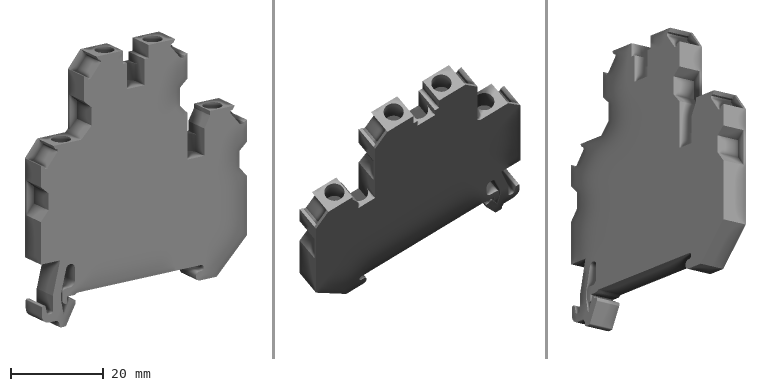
import cadquery as cq
import math


thickness = 6.1
half_length = 27.0
top_z = 59.85
deck_z = 41.7
underside_z = 15.3
seat_z = 7.1
foot_z = 3.65
foot_slope = 8.0

tower_center_y = -2.16
tower_half_length = 13.55
tower_front_y = tower_center_y - tower_half_length
tower_back_y = tower_center_y + tower_half_length
tower_foot_chamfer = 0.7

corner_run = 3.25
corner_drop = 3.9
side_wall = 0.6
groove_depth = 1.85
groove_floor_inset = 0.4
groove_bevel_depth = 1.45
groove_bevel_inset = 0.04
groove_ridge_depth = 0.9
groove_ridge_inset = 0.29

top_notch_half_width = 3.35
top_notch_step = 3.0
top_notch_slot_half_width = 2.3
top_notch_depth = 4.95
top_notch_floor_z = top_z - top_notch_depth
deck_notch_width = 4.4
deck_notch_floor_z = 35.8
deck_notch_mouth_y = 17.3
deck_notch_slope_top_z = 40.7
deck_notch_slope_end_z = 38.0
deck_notch_edge_y = tower_back_y + deck_notch_width
notch_slot_depth = 4.0

bore_center_x = 3.3
screw_hole_diameter = 4.35
screw_hole_radius = screw_hole_diameter / 2
screw_hole_depth = 5.0
tower_hole_offset = 6.3
deck_hole_offset = 19.8

entry_depth = 2.0
entry_ceiling_rise = 1.75
tower_entry_top_z = 50.25
tower_entry_bottom_z = deck_z + tower_foot_chamfer
tower_entry_slope_z = tower_entry_bottom_z + entry_depth
deck_entry_top_z = 32.9
deck_entry_slope_z = 27.3
deck_entry_bottom_z = 25.0

foot_tip_y = 13.6
foot_root_y = 15.55
foot_hook_top_z = 5.75
foot_tip_radius = 1.0
foot_root_radius = 0.6

lip_ramp_start_y = -17.4
lip_ramp_end_y = -18.2
lip_underside_z = 6.7
lip_inner_y = -20.1
lip_outer_y = -21.36
lip_bottom_z = 5.1
lip_top_z = 8.62
lip_inner_radius = 0.25
lip_outer_radius = 1.0
slot_wall_y = -18.11
slot_top_z = 13.95
slot_arm_y = -20.15
slot_lower_radius = 1.4
slot_upper_radius = 1.1

arm_inner_y = -21.74
arm_inner_bend_top_z = 7.7
arm_inner_bend_bottom_z = 6.3
arm_upper_bend_radius = 3.0
arm_lower_bend_radius = 1.5
arm_outer_y = -23.88
arm_outer_bend_z = 7.6
arm_root_y = -21.97

catch_crotch_y = -21.02
catch_crotch_z = 2.8
catch_top_z = 6.12
catch_top_front_y = -19.5
catch_top_back_y = -19.2
catch_shoulder_y = -18.75
catch_shoulder_z = 5.6
catch_back_y = -17.9
catch_back_top_z = 5.5
catch_back_bottom_z = 4.75
catch_base_back_y = -20.46
catch_base_front_y = -22.14
catch_base_radius = 0.4

finger_outer_y = -26.75
finger_tip_inner_y = -25.83
finger_root_inner_y = -25.33
finger_top_z = 5.75
finger_bottom_z = 1.72
finger_floor_z = 3.6
finger_outer_radius = 1.9
finger_tip_radius = 0.25
finger_floor_radius = 0.55
finger_heel_y = -22.65
finger_heel_z = 0.95

soft_edge_radius = 0.3
fine_edge_radius = 0.12


def rounded_outline(corners):
    """Closed YZ wire through (y, z, radius) corners; radius 0 leaves a corner sharp."""
    spans = []
    for index, (y, z, radius) in enumerate(corners):
        corner = cq.Vector(y, z)
        before = corners[index - 1]
        after = corners[(index + 1) % len(corners)]
        to_before = (cq.Vector(before[0], before[1]) - corner).normalized()
        to_after = (cq.Vector(after[0], after[1]) - corner).normalized()
        if radius == 0:
            spans.append((corner, None, corner))
            continue
        half_angle = to_before.getAngle(to_after) / 2
        tangent_length = radius / math.tan(half_angle)
        bisector = (to_before + to_after).normalized()
        middle = corner + bisector * (radius / math.sin(half_angle) - radius)
        spans.append((corner + to_before * tangent_length, middle, corner + to_after * tangent_length))

    outline = cq.Workplane("YZ").moveTo(*spans[0][2].toTuple()[:2])
    for start, middle, end in spans[1:] + spans[:1]:
        outline = outline.lineTo(*start.toTuple()[:2])
        if middle is not None:
            outline = outline.threePointArc(middle.toTuple()[:2], end.toTuple()[:2])
    return outline.close()


def body_corners():
    """Upper outline, from the -Y underside over the tower to the lower +Y corner."""
    notch_y = tower_center_y
    step_z = top_z - top_notch_step
    points = [
        (-half_length, underside_z),
        (-half_length, deck_z - corner_drop),
        (-half_length + corner_run, deck_z),
        (tower_front_y - tower_foot_chamfer, deck_z),
        (tower_front_y, deck_z + tower_foot_chamfer),
        (tower_front_y, top_z - corner_drop),
        (tower_front_y + corner_run, top_z),
        (notch_y - top_notch_half_width, top_z),
        (notch_y - top_notch_half_width, step_z),
        (notch_y - top_notch_slot_half_width, step_z),
        (notch_y - top_notch_slot_half_width, top_notch_floor_z),
        (notch_y + top_notch_slot_half_width, top_notch_floor_z),
        (notch_y + top_notch_slot_half_width, step_z),
        (notch_y + top_notch_half_width, step_z),
        (notch_y + top_notch_half_width, top_z),
        (tower_back_y - corner_run, top_z),
        (tower_back_y, top_z - corner_drop),
        (tower_back_y, deck_notch_floor_z),
        (deck_notch_edge_y, deck_notch_floor_z),
        (deck_notch_edge_y, deck_notch_slope_end_z),
        (deck_notch_mouth_y, deck_notch_slope_top_z),
        (deck_notch_mouth_y, deck_z),
        (half_length - corner_run, deck_z),
        (half_length, deck_z - corner_drop),
        (half_length, foot_z + foot_slope),
        (half_length - foot_slope, foot_z),
    ]
    return [(y, z, 0) for y, z in points]


def rail_foot_corners():
    """Fixed hook gripping the +Y edge of the rail."""
    return [
        (foot_tip_y, foot_z, foot_tip_radius),
        (foot_tip_y, foot_hook_top_z, foot_tip_radius),
        (foot_root_y, foot_hook_top_z, foot_root_radius),
        (foot_root_y, seat_z, foot_root_radius),
    ]


def lip_corners():
    """Lip at the -Y end of the rail seat and the slot that frees the spring arm."""
    return [
        (lip_ramp_start_y, seat_z, 0),
        (lip_ramp_end_y, lip_underside_z, 0),
        (lip_inner_y, lip_underside_z, 0),
        (lip_inner_y, lip_bottom_z, lip_inner_radius),
        (lip_outer_y, lip_bottom_z, lip_outer_radius),
        (lip_outer_y, lip_top_z, lip_outer_radius),
        (slot_wall_y, lip_top_z, slot_lower_radius),
        (slot_wall_y, slot_top_z, slot_upper_radius),
        (slot_arm_y, slot_top_z, slot_upper_radius),
    ]


def latch_corners():
    """Spring arm, its catch under the lip, and the release finger."""
    arm_inner_face = [
        (arm_inner_y, arm_inner_bend_top_z, arm_upper_bend_radius),
        (arm_inner_y, arm_inner_bend_bottom_z, arm_lower_bend_radius),
    ]
    catch = [
        (catch_crotch_y, catch_crotch_z, 0),
        (catch_top_front_y, catch_top_z, fine_edge_radius),
        (catch_top_back_y, catch_top_z, fine_edge_radius),
        (catch_shoulder_y, catch_shoulder_z, soft_edge_radius),
        (catch_back_y, catch_back_top_z, fine_edge_radius),
        (catch_back_y, catch_back_bottom_z, soft_edge_radius),
        (catch_base_back_y, 0, catch_base_radius),
        (catch_base_front_y, 0, catch_base_radius),
    ]
    finger = [
        (catch_base_front_y, finger_heel_z, soft_edge_radius),
        (finger_heel_y, finger_bottom_z, soft_edge_radius),
        (finger_outer_y, finger_bottom_z, finger_outer_radius),
        (finger_outer_y, finger_top_z, finger_tip_radius),
        (finger_tip_inner_y, finger_top_z, finger_tip_radius),
        (finger_root_inner_y, finger_floor_z, finger_floor_radius),
    ]
    arm_outer_face = [
        (arm_outer_y, finger_floor_z, finger_floor_radius),
        (arm_outer_y, arm_outer_bend_z, 0),
        (arm_root_y, underside_z, 0),
    ]
    return arm_inner_face + catch + finger + arm_outer_face


def recess(points):
    """Cutter from the side wall out through the +X face."""
    return cq.Workplane("YZ", origin=(side_wall, 0, 0)).polyline(points).close().extrude(thickness)


def corner_groove(end_y, level_z, inward):
    """Ridged groove across a sloped end corner; inward is +1 or -1 along Y."""
    slope_length = math.hypot(corner_run, corner_drop)
    unit_run = corner_run / slope_length
    unit_drop = corner_drop / slope_length

    def point(along, depth):
        """Point a distance down the slope and a depth square to it."""
        inset = corner_run - along * unit_run + depth * unit_drop
        return end_y + inward * inset, level_z - along * unit_drop - depth * unit_run

    half_profile = [
        (0, 0),
        (groove_ridge_inset, groove_ridge_depth),
        (groove_bevel_inset, groove_bevel_depth),
        (groove_floor_inset, groove_depth),
    ]
    mirrored_half = [(slope_length - along, depth) for along, depth in reversed(half_profile)]
    return recess([point(along, depth) for along, depth in half_profile + mirrored_half])


def wire_entry(end_y, inward, upper_z, slope_z, lower_z):
    """Wire recess in an end face, with a sloping ceiling and a sloping floor."""
    back_y = end_y + inward * entry_depth
    return recess([
        (end_y, upper_z),
        (back_y, upper_z - entry_ceiling_rise),
        (back_y, slope_z),
        (end_y, lower_z),
    ])


def vertical_hole(y, z, radius, depth):
    """Cutter for a round blind hole going down from height z."""
    return cq.Workplane("XY", origin=(bore_center_x, y, z)).circle(radius).extrude(-depth)


def notch_slot(y, floor_z, width):
    """Round-ended slot in a notch floor, as wide as the notch and open at +X."""
    round_end = vertical_hole(y, floor_z, width / 2, notch_slot_depth)
    open_end = (
        cq.Workplane("XY", origin=(bore_center_x + thickness / 2, y, floor_z))
        .rect(thickness, width)
        .extrude(-notch_slot_depth)
    )
    return round_end.union(open_end)


body = rounded_outline(
    body_corners() + rail_foot_corners() + lip_corners() + latch_corners()
).extrude(thickness)

for inward in (1, -1):
    deck_end_y = -inward * half_length
    tower_end_y = tower_center_y - inward * tower_half_length
    body = body.cut(corner_groove(deck_end_y, deck_z, inward))
    body = body.cut(corner_groove(tower_end_y, top_z, inward))
    body = body.cut(
        wire_entry(deck_end_y, inward, deck_entry_top_z, deck_entry_slope_z, deck_entry_bottom_z)
    )
    body = body.cut(
        wire_entry(tower_end_y, inward, tower_entry_top_z, tower_entry_slope_z, tower_entry_bottom_z)
    )
    deck_hole_y = -inward * deck_hole_offset
    tower_hole_y = tower_center_y - inward * tower_hole_offset
    body = body.cut(vertical_hole(deck_hole_y, deck_z, screw_hole_radius, screw_hole_depth))
    body = body.cut(vertical_hole(tower_hole_y, top_z, screw_hole_radius, screw_hole_depth))

deck_notch_center_y = tower_back_y + deck_notch_width / 2
body = body.cut(notch_slot(tower_center_y, top_notch_floor_z, 2 * top_notch_slot_half_width))
body = body.cut(notch_slot(deck_notch_center_y, deck_notch_floor_z, deck_notch_width))

result = body